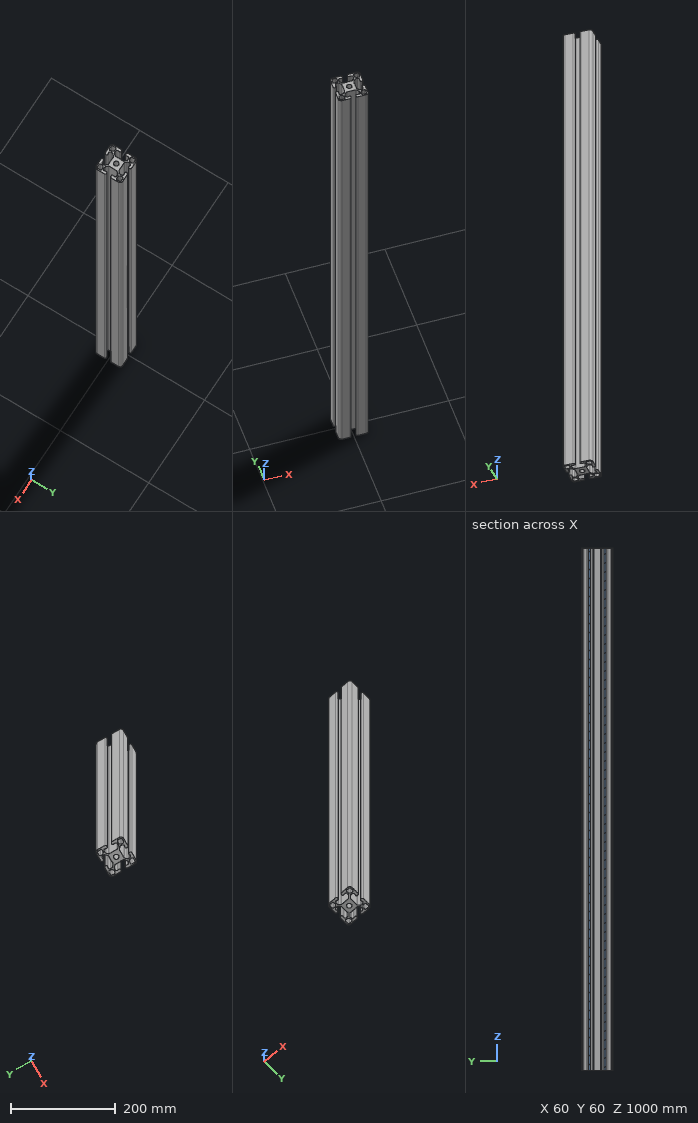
import cadquery as cq
length = 1000
width = 60
corner_radius = 6.0
bore_diameter = 10

slot_depth = 18.0
mouth_width = 10
lip_tip_thickness = 6.5
lip_root_thickness = 5.5
lip_outer_radius = 3.0
lip_inner_radius = 2.0
cavity_width = 29.0
flank_run = 5.0
shoulder_radius = 3.0
floor_radius = 2.0

chamber_size = 10
chamber_wall = 3.0
chamber_corner_radius = 2.0
chamber_inner_chamfer = 3.0

half_width = width / 2
half_mouth = mouth_width / 2
half_cavity = cavity_width / 2
half_floor = half_cavity - flank_run
lip_tip_y = half_width - lip_tip_thickness
lip_root_y = half_width - lip_root_thickness
floor_y = half_width - slot_depth
flank_y = floor_y + flank_run


def edges_at(x, y):
    """Select the Z edges at (x, y) and its mirror (-x, y)."""
    margin = 0.1
    boxes = [
        cq.selectors.BoxSelector(
            (side * x - margin, y - margin, -margin),
            (side * x + margin, y + margin, length + margin),
        )
        for side in (-1, 1)
    ]
    return boxes[0] + boxes[1]


def slot_cutter():
    """T-slot opening on the +Y side, with 45-degree flanks down to the floor."""
    right_side = [
        (half_mouth, half_width),
        (half_mouth, lip_tip_y),
        (half_cavity, lip_root_y),
        (half_cavity, flank_y),
        (half_floor, floor_y),
    ]
    left_side = [(-x, y) for x, y in reversed(right_side)]
    slot = cq.Workplane("XY").polyline(right_side + left_side).close().extrude(length)
    slot = slot.edges(edges_at(half_mouth, lip_tip_y)).fillet(lip_inner_radius)
    for y in (lip_root_y, flank_y):
        slot = slot.edges(edges_at(half_cavity, y)).fillet(shoulder_radius)
    return slot.edges(edges_at(half_floor, floor_y)).fillet(floor_radius)


def chamber_cutter():
    """Corner chamber in +X +Y: square, with the corner towards the bar axis cut off."""
    outer = half_width - chamber_wall
    inner = outer - chamber_size
    cut = inner + chamber_inner_chamfer
    outline = [(outer, outer), (inner, outer), (inner, cut), (cut, inner), (outer, inner)]
    chamber = cq.Workplane("XY").polyline(outline).close().extrude(length)
    return chamber.edges("|Z").fillet(chamber_corner_radius)


bar = cq.Workplane("XY").rect(width, width).extrude(length)
bar = bar.edges("|Z").fillet(corner_radius)

slot = slot_cutter()
chamber = chamber_cutter()
for quarter_turn in range(4):
    turn = ((0, 0, 0), (0, 0, 1), 90 * quarter_turn)
    bar = bar.cut(slot.rotate(*turn)).cut(chamber.rotate(*turn))

for y in (half_width, -half_width):
    bar = bar.edges(edges_at(half_mouth, y)).fillet(lip_outer_radius)
for y in (half_mouth, -half_mouth):
    bar = bar.edges(edges_at(half_width, y)).fillet(lip_outer_radius)

result = bar.cut(cq.Workplane("XY").circle(bore_diameter / 2).extrude(length))